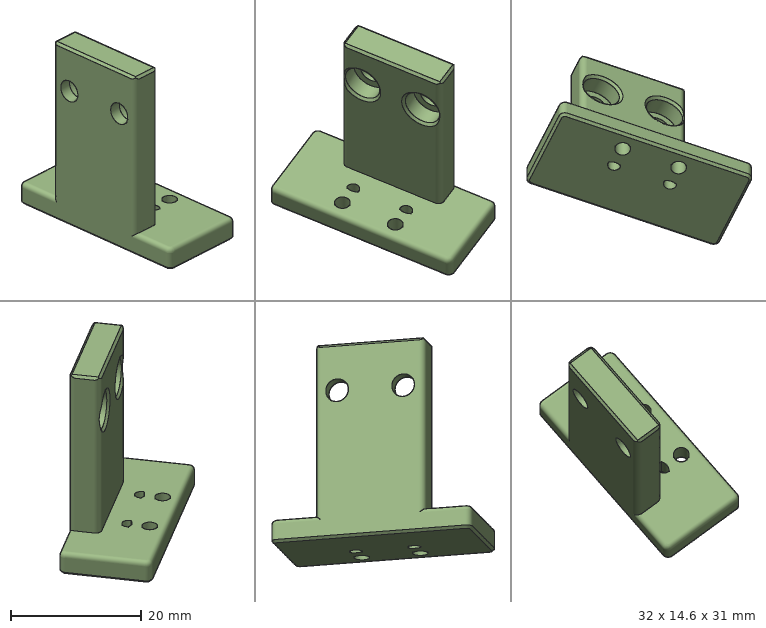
import cadquery as cq

base_length = 32.0
base_depth = 14.6
base_thickness = 3.68
base_top_round = 0.77

wall_left = 7.17
wall_width = 17.47
wall_thickness = 4.95
overall_height = 31.0

corner_radius = 1.0
edge_chamfer = 0.4

wall_hole_diameter = 3.6
wall_hole_spacing = 10.53
wall_hole_drop = 7.45
wall_counterbore_diameter = 6.0
wall_counterbore_depth = 3.0

base_hole_diameter = 2.4
base_hole_spacing = 9.3
base_hole_inset = 2.75
lens_pitch = 3.35
lens_diameter = 2.0
lens_cap_diameter = 3.6
lens_cap_offset = 1.28

wall_center_x = wall_left + wall_width / 2
wall_hole_z = overall_height - wall_hole_drop
base_hole_y = base_depth - base_hole_inset
lens_y = base_hole_y - lens_pitch


def pair(center, spacing):
    """Two positions set symmetrically about a center."""
    return (center - spacing / 2, center + spacing / 2)


def base_cylinder(x, y, diameter):
    """Vertical cylinder as tall as the base."""
    return cq.Workplane("XY").center(x, y).circle(diameter / 2).extrude(base_thickness)


def wall_back_plane(x):
    """Plane on the back of the wall, centered on a hole and facing the front."""
    return cq.Workplane("XZ", origin=(x, wall_thickness, wall_hole_z))


def wall_bore(x):
    """Cylinder along Y through the full thickness of the wall."""
    return wall_back_plane(x).circle(wall_hole_diameter / 2).extrude(wall_thickness)


def wall_counterbore(x):
    """Stepped pocket at the back of the wall, with a chamfered mouth."""
    pocket = (
        wall_back_plane(x)
        .circle(wall_counterbore_diameter / 2)
        .extrude(wall_counterbore_depth)
    )
    mouth = (
        wall_back_plane(x)
        .circle(wall_counterbore_diameter / 2 + edge_chamfer)
        .workplane(offset=edge_chamfer)
        .circle(wall_counterbore_diameter / 2)
        .loft(ruled=True)
    )
    return pocket.union(mouth)


def make_base():
    """Plate with round corners, a rounded top rim and a chamfered bottom rim."""
    plate = cq.Workplane("XY").box(base_length, base_depth, base_thickness, centered=False)
    plate = plate.edges("|Z").fillet(corner_radius)
    plate = plate.faces(">Z").edges().fillet(base_top_round)
    return plate.faces("<Z").edges().chamfer(edge_chamfer)


def make_wall():
    """Upright block whose mitred top chamfer is cut by the round vertical corners."""
    block = (
        cq.Workplane("XY", origin=(wall_left, 0, 0))
        .box(wall_width, wall_thickness, overall_height, centered=False)
    )
    rounded = block.edges("|Z").fillet(corner_radius)
    chamfered = block.faces(">Z").edges().chamfer(edge_chamfer)
    foot_z = base_thickness - base_top_round
    foot = cq.Workplane("XY").box(base_length, base_depth, foot_z, centered=False)
    return rounded.intersect(chamfered).cut(foot)


result = make_base().union(make_wall())

for hole_x in pair(wall_center_x, wall_hole_spacing):
    result = result.cut(wall_bore(hole_x))
    result = result.cut(wall_counterbore(hole_x))

for hole_x in pair(base_length / 2, base_hole_spacing):
    lens_body = base_cylinder(hole_x, lens_y, lens_diameter)
    lens_cap = base_cylinder(hole_x, lens_y - lens_cap_offset, lens_cap_diameter)
    result = result.cut(base_cylinder(hole_x, base_hole_y, base_hole_diameter))
    result = result.cut(lens_body.intersect(lens_cap))